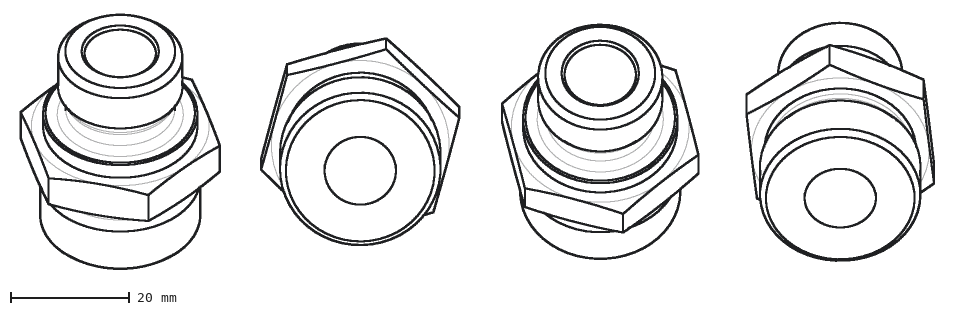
import cadquery as cq
import math

height = 38.0
lower_thread_top = 9.35
hex_bottom = 13.95
hex_top = 21.05
upper_thread_bottom = 29.95

lower_thread_radius = 27.0 / 2
lower_groove_radius = 24.7 / 2
lower_chamfer = 1.0
upper_thread_radius = 20.95 / 2
upper_groove_radius = 18.4 / 2
upper_chamfer = 1.2

relief_radius = 1.2
runout_angle = math.radians(30)
lower_relief_level = 13.0
upper_relief_level = 24.93

collar_radius = 26.0 / 2
collar_chamfer_width = 0.4
collar_chamfer_height = 0.15
seal_angle = math.radians(10)

across_flats = 30.0
hex_chamfer_radius = 14.97
hex_chamfer_angle = math.radians(15)
corner_clearance = 0.38

bore_radius = 12.0 / 2
bore_chamfer = 0.5


def runout_fillet(groove_radius, thread_radius, thread_end, direction):
    """Start, middle and end (groove to cone) of the arc joining a groove to a runout cone.

    direction is +1 when the groove lies above the thread and -1 when it lies below.
    """
    cone_length = (thread_radius - groove_radius) / math.tan(runout_angle)
    corner = thread_end + direction * cone_length
    start_level = corner + direction * relief_radius * math.tan(runout_angle / 2)

    def arc_point(angle):
        radius = groove_radius + relief_radius * (1 - math.cos(angle))
        level = start_level - direction * relief_radius * math.sin(angle)
        return radius, level

    return arc_point(0), arc_point(runout_angle / 2), arc_point(runout_angle)


def relief_point(groove_radius, start_level, angle, direction):
    """Point on the fillet leaving a groove axially and turning outward by the given angle."""
    radius = groove_radius + relief_radius * (1 - math.cos(angle))
    return radius, start_level + direction * relief_radius * math.sin(angle)


def make_lower_end():
    start, middle, end = runout_fillet(lower_groove_radius, lower_thread_radius, lower_thread_top, 1)
    sweep = math.asin((hex_bottom - lower_relief_level) / relief_radius)
    return (
        cq.Workplane("XZ")
        .lineTo(lower_thread_radius - lower_chamfer, 0)
        .lineTo(lower_thread_radius, lower_chamfer)
        .lineTo(lower_thread_radius, lower_thread_top)
        .lineTo(*end)
        .threePointArc(middle, start)
        .lineTo(lower_groove_radius, lower_relief_level)
        .threePointArc(
            relief_point(lower_groove_radius, lower_relief_level, sweep / 2, 1),
            relief_point(lower_groove_radius, lower_relief_level, sweep, 1),
        )
        .lineTo(0, hex_bottom)
        .close()
        .revolve(360, (0, 0, 0), (0, 1, 0))
    )


def make_upper_end():
    start, middle, end = runout_fillet(upper_groove_radius, upper_thread_radius, upper_thread_bottom, -1)
    sweep = math.pi / 2 + seal_angle
    seal_inner = relief_point(upper_groove_radius, upper_relief_level, sweep, -1)
    seal_outer_radius = collar_radius - collar_chamfer_width
    seal_outer_level = seal_inner[1] + (seal_outer_radius - seal_inner[0]) * math.tan(seal_angle)
    return (
        cq.Workplane("XZ")
        .moveTo(0, hex_top)
        .lineTo(collar_radius, hex_top)
        .lineTo(collar_radius, seal_outer_level - collar_chamfer_height)
        .lineTo(seal_outer_radius, seal_outer_level)
        .lineTo(*seal_inner)
        .threePointArc(
            relief_point(upper_groove_radius, upper_relief_level, sweep / 2, -1),
            (upper_groove_radius, upper_relief_level),
        )
        .lineTo(*start)
        .threePointArc(middle, end)
        .lineTo(upper_thread_radius, upper_thread_bottom)
        .lineTo(upper_thread_radius, height - upper_chamfer)
        .lineTo(upper_thread_radius - upper_chamfer, height)
        .lineTo(0, height)
        .close()
        .revolve(360, (0, 0, 0), (0, 1, 0))
    )


def make_hexagon():
    """Hexagon with corners on the Y axis, its corners chamfered above and below."""
    corner_radius = across_flats / math.sqrt(3)
    prism = (
        cq.Workplane("XY", origin=(0, 0, hex_bottom))
        .polygon(6, 2 * corner_radius)
        .extrude(hex_top - hex_bottom)
        .rotate((0, 0, 0), (0, 0, 1), 90)
    )
    envelope_radius = corner_radius + corner_clearance
    drop = (envelope_radius - hex_chamfer_radius) * math.tan(hex_chamfer_angle)
    envelope = (
        cq.Workplane("XZ")
        .moveTo(0, hex_bottom)
        .lineTo(hex_chamfer_radius, hex_bottom)
        .lineTo(envelope_radius, hex_bottom + drop)
        .lineTo(envelope_radius, hex_top - drop)
        .lineTo(hex_chamfer_radius, hex_top)
        .lineTo(0, hex_top)
        .close()
        .revolve(360, (0, 0, 0), (0, 1, 0))
    )
    return prism.intersect(envelope)


def make_bore():
    """Through bore with a chamfered mouth at the top."""
    return (
        cq.Workplane("XZ")
        .lineTo(bore_radius, 0)
        .lineTo(bore_radius, height - bore_chamfer)
        .lineTo(bore_radius + bore_chamfer, height)
        .lineTo(0, height)
        .close()
        .revolve(360, (0, 0, 0), (0, 1, 0))
    )


body = make_lower_end().union(make_hexagon()).union(make_upper_end())
result = body.cut(make_bore())